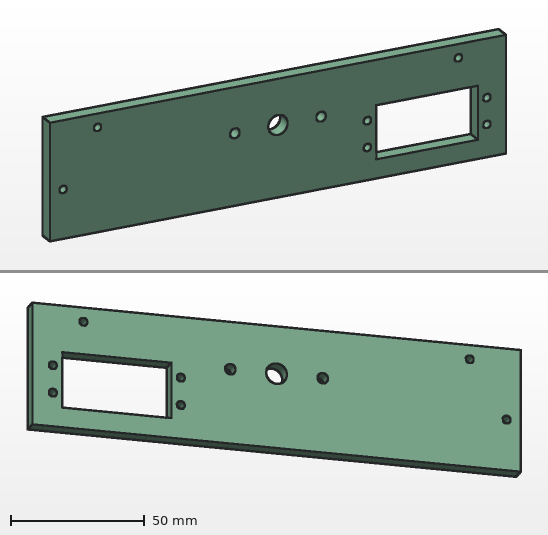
import cadquery as cq

thickness = 6.3
length = 190.5
height = 48.2

window_y = 62.3
window_z = -5.3
window_length = 42.5
window_height = 22.0
window_screw_pitch_y = 50.0
window_screw_pitch_z = 10.9

shaft_z = 5.3
shaft_diameter = 8.0
fixing_diameter = 4.0
fixing_pitch = 36.0

screw_diameter = 3.0
top_screw_pitch = 150.7
top_screw_z = 18.5
end_screw_y = -89.7
end_screw_z = -4.0


def through_holes(diameter, positions):
    """Cylinders along X through the plate at (y, z) positions."""
    return (
        cq.Workplane("YZ")
        .pushPoints(positions)
        .circle(diameter / 2)
        .extrude(thickness, both=True)
    )


plate = cq.Workplane("XY").box(thickness, length, height)

window = (
    cq.Workplane("XY")
    .box(2 * thickness, window_length, window_height)
    .translate((0, window_y, window_z))
)

window_screws = [
    (window_y + side_y * window_screw_pitch_y / 2, window_z + side_z * window_screw_pitch_z / 2)
    for side_y in (-1, 1)
    for side_z in (-1, 1)
]
top_screws = [(side * top_screw_pitch / 2, top_screw_z) for side in (-1, 1)]
end_screw = (end_screw_y, end_screw_z)
fixings = [(side * fixing_pitch / 2, shaft_z) for side in (-1, 1)]

result = (
    plate
    .cut(window)
    .cut(through_holes(screw_diameter, window_screws + top_screws + [end_screw]))
    .cut(through_holes(fixing_diameter, fixings))
    .cut(through_holes(shaft_diameter, [(0, shaft_z)]))
)